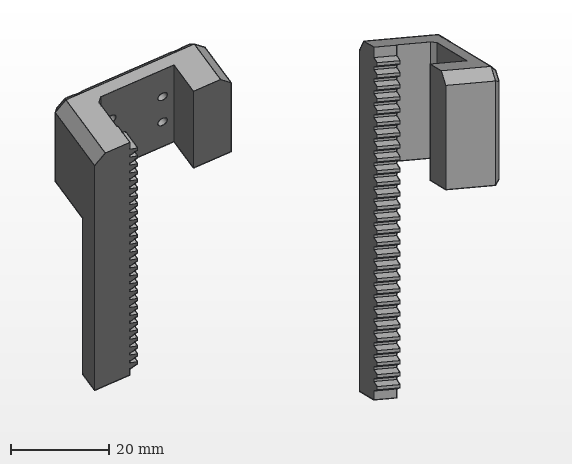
import cadquery as cq
import math

width = 17.4
depth = 35.0
height = 73.65
mid_y = depth / 2

head_height = 24.3
wall = 4.0
short_arm_reach = 12.0
short_arm_thickness = 8.85
long_arm_thickness = 8.0
inner_chamfer = 1.0
corner_chamfer = 2.5
face_chamfer_depth = 1.2
face_chamfer_side = 1.0

rack_width = 5.0
rack_root = 8.25
addendum = 0.8
dedendum = 1.25 * addendum
pressure_angle = math.radians(20)
tooth_pitch = 2.5
tooth_count = 28
first_tooth_z = 2.9

pocket_diameter = 4.35
pocket_depth = 3.0
pocket_spacing_y = 23.05
pocket_spacing_z = 12.6
pocket_top_gap = 2.9
screw_diameter = 2.2
counterbore_diameter = 4.7
counterbore_depth = wall / 2
screw_spacing_y = 12.0
screw_spacing_z = 7.95
screw_top_gap = 8.5


def make_head():
    """C-shaped head with cut top corners and a bevelled mounting face."""
    block = (
        cq.Workplane("XY")
        .box(width, depth, head_height, centered=False)
        .translate((0, 0, height - head_height))
        .edges("|X and >Z")
        .chamfer(corner_chamfer)
        .faces("<X")
        .chamfer(face_chamfer_side, face_chamfer_depth)
    )
    inner_space = (
        cq.Workplane("XY", origin=(0, 0, height - head_height))
        .moveTo(wall, long_arm_thickness)
        .lineTo(width, long_arm_thickness)
        .lineTo(width, depth)
        .lineTo(short_arm_reach, depth)
        .lineTo(short_arm_reach, depth - short_arm_thickness)
        .lineTo(wall, depth - short_arm_thickness)
        .close()
        .extrude(head_height)
        .edges("|Z and <X and <Y")
        .chamfer(inner_chamfer)
    )
    return block.cut(inner_space)


def make_rack():
    """Full-height bar with straight-flanked teeth on its +Y side."""
    tip_y = rack_root + dedendum + addendum
    half_tip = tooth_pitch / 4 - addendum * math.tan(pressure_angle)
    half_root = tooth_pitch / 4 + dedendum * math.tan(pressure_angle)

    bar = cq.Workplane("YZ", origin=(width - rack_width, 0, 0)).lineTo(rack_root, 0)
    for index in range(tooth_count):
        z = first_tooth_z + index * tooth_pitch
        bar = bar.lineTo(rack_root, z - half_root).lineTo(tip_y, z - half_tip)
        bar = bar.lineTo(tip_y, z + half_tip).lineTo(rack_root, z + half_root)
    bar = bar.lineTo(rack_root, height).lineTo(corner_chamfer, height)
    bar = bar.lineTo(0, height - corner_chamfer).close()
    return bar.extrude(rack_width)


def hole_grid(diameter, hole_depth, spacing_y, spacing_z, top_gap):
    """Two by two pattern of holes sunk from the mounting face."""
    z_mid = height - top_gap - spacing_z / 2
    return (
        cq.Workplane("YZ", origin=(0, mid_y, z_mid))
        .rarray(spacing_y, spacing_z, 2, 2)
        .circle(diameter / 2)
        .extrude(hole_depth)
    )


pockets = hole_grid(pocket_diameter, pocket_depth, pocket_spacing_y, pocket_spacing_z, pocket_top_gap)
screw_holes = hole_grid(screw_diameter, wall, screw_spacing_y, screw_spacing_z, screw_top_gap)
counterbores = hole_grid(
    counterbore_diameter, counterbore_depth, screw_spacing_y, screw_spacing_z, screw_top_gap
)

result = make_head().union(make_rack()).cut(pockets).cut(screw_holes).cut(counterbores)